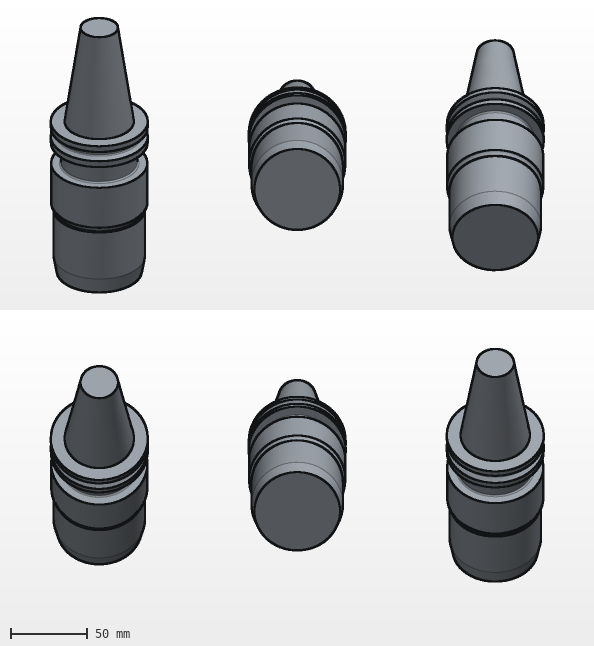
import cadquery as cq
import math


gauge_diameter = 44.45
taper_ratio = 7 / 24
shank_top = 68.25

flange_diameter = 63.5
flange_top = -3.2
flange_bottom = -19.1
groove_centre = -11.1
groove_width = 7.0
groove_floor_diameter = 56.0
groove_flank_angle = 30.0
groove_fillet = 1.0

neck_diameter = 50.0
neck_fillet = 1.0

body_diameter = 63.0
body_top = -35.0
body_bottom = -65.5
nut_diameter = 60.0
relief_diameter = 59.4
relief_fillet = 3.0
relief_bottom = -69.3
nut_chamfer_length = 0.7
nose_diameter = 56.0
nose_top = -105.5
nose_bottom = -117.0


def radius_on_taper(z):
    return (gauge_diameter - taper_ratio * z) / 2


def revolve_outline(outline):
    """Close a (radius, z) outline and turn it about the Z axis."""
    return outline.close().revolve(360, (0, 0, 0), (0, 1, 0))


def make_shank():
    outline = (
        cq.Workplane("XZ")
        .moveTo(0, flange_top)
        .lineTo(radius_on_taper(flange_top), flange_top)
        .lineTo(radius_on_taper(shank_top), shank_top)
        .lineTo(0, shank_top)
    )
    return revolve_outline(outline)


def make_flange():
    rim_radius = flange_diameter / 2
    floor_radius = groove_floor_diameter / 2
    half_width = groove_width / 2
    flank_angle = math.radians(groove_flank_angle)
    corner = half_width - (rim_radius - floor_radius) * math.tan(flank_angle)
    tangent_length = groove_fillet * math.tan((math.pi / 2 - flank_angle) / 2)
    half_floor = corner - tangent_length
    flank_foot = corner + tangent_length * math.sin(flank_angle)
    flank_foot_radius = floor_radius + tangent_length * math.cos(flank_angle)
    outline = (
        cq.Workplane("XZ")
        .moveTo(0, flange_bottom)
        .lineTo(rim_radius, flange_bottom)
        .lineTo(rim_radius, groove_centre - half_width)
        .lineTo(flank_foot_radius, groove_centre - flank_foot)
        .radiusArc((floor_radius, groove_centre - half_floor), groove_fillet)
        .lineTo(floor_radius, groove_centre + half_floor)
        .radiusArc((flank_foot_radius, groove_centre + flank_foot), groove_fillet)
        .lineTo(rim_radius, groove_centre + half_width)
        .lineTo(rim_radius, flange_top)
        .lineTo(0, flange_top)
    )
    return revolve_outline(outline)


def make_neck():
    neck_radius = neck_diameter / 2
    root_radius = neck_radius + neck_fillet
    outline = (
        cq.Workplane("XZ")
        .moveTo(0, body_top)
        .lineTo(root_radius, body_top)
        .radiusArc((neck_radius, body_top + neck_fillet), neck_fillet)
        .lineTo(neck_radius, flange_bottom - neck_fillet)
        .radiusArc((root_radius, flange_bottom), neck_fillet)
        .lineTo(0, flange_bottom)
    )
    return revolve_outline(outline)


def make_body():
    nut_radius = nut_diameter / 2
    body_radius = body_diameter / 2
    relief_radius = relief_diameter / 2
    fillet_run = math.sqrt(relief_fillet**2 - (relief_fillet - (body_radius - relief_radius)) ** 2)
    outline = (
        cq.Workplane("XZ")
        .moveTo(0, nose_bottom)
        .lineTo(nose_diameter / 2, nose_bottom)
        .lineTo(nut_radius, nose_top)
        .lineTo(nut_radius, relief_bottom - nut_chamfer_length)
        .lineTo(relief_radius, relief_bottom)
        .lineTo(relief_radius, body_bottom - fillet_run)
        .radiusArc((body_radius, body_bottom), relief_fillet)
        .lineTo(body_radius, body_top)
        .lineTo(0, body_top)
    )
    return revolve_outline(outline)


result = make_shank().union(make_flange()).union(make_neck()).union(make_body())